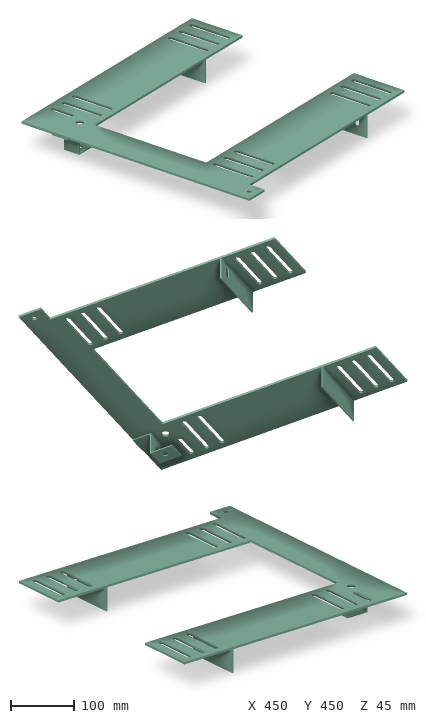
import cadquery as cq

overall_length = 450.0
overall_height = 45.0
plate_thickness = 4.0
leg_width = 100.0
base_depth = 60.0
tab_length = 30.0
tab_depth = 40.0
tab_hole_diameter = 8.0

slot_width = 8.0
slot_edge_margin = 11.0
slot_length = 78.0
short_slot_length = 43.0
slot_pitch = 28.0
slots_per_group = 3
front_slot_y = 64.0
rear_slot_y = 374.0

sheet_thickness = 2.0
wall_y = 351.0
wall_slot_x = 80.0
wall_slot_depth = 20.0
wall_slot_length = 18.0
wall_slot_width = 8.0

bracket_x = 60.0
bracket_width = 30.0
flange_depth = 34.0
foot_depth = 40.0

access_hole_x = 76.0
access_hole_y = 52.0
access_hole_diameter = 13.0
foot_hole_diameter = 8.0

right_leg_end = overall_length - tab_length
right_leg_x = right_leg_end - leg_width
plate_bottom = -plate_thickness
bottom_z = -overall_height


def box(x, y, z, length, depth, height):
    """Box placed by its lowest corner."""
    return cq.Workplane("XY").box(length, depth, height, centered=False).translate((x, y, z))


def vertical_cylinder(x, y, diameter, bottom, top):
    return cq.Workplane("XY", origin=(x, y, bottom)).circle(diameter / 2).extrude(top - bottom)


def leg_slot(start_x, y, length):
    """Round-ended cutter running along X through the plate."""
    center_x = start_x + length / 2
    return (
        cq.Workplane("XY", origin=(center_x, y, plate_bottom))
        .slot2D(length, slot_width)
        .extrude(plate_thickness)
    )


def make_plate():
    """U-shaped plate with a mounting tab at its front right corner."""
    plate = (
        cq.Workplane("XY", origin=(0, 0, plate_bottom))
        .moveTo(0, 0)
        .lineTo(overall_length, 0)
        .lineTo(overall_length, tab_depth)
        .lineTo(right_leg_end, tab_depth)
        .lineTo(right_leg_end, overall_length)
        .lineTo(right_leg_x, overall_length)
        .lineTo(right_leg_x, base_depth)
        .lineTo(leg_width, base_depth)
        .lineTo(leg_width, overall_length)
        .lineTo(0, overall_length)
        .close()
        .extrude(plate_thickness)
    )
    tab_hole_x = overall_length - tab_length / 2
    plate = plate.cut(vertical_cylinder(tab_hole_x, tab_depth / 2, tab_hole_diameter, plate_bottom, 0))
    return plate.cut(vertical_cylinder(access_hole_x, access_hole_y, access_hole_diameter, plate_bottom, 0))


def cut_leg_slots(plate):
    """Two groups of slots per leg; the slot beside the access hole is short."""
    for leg_x in (0, right_leg_x):
        for group_y in (front_slot_y, rear_slot_y):
            for index in range(slots_per_group):
                beside_access_hole = leg_x == 0 and group_y == front_slot_y and index == 0
                length = short_slot_length if beside_access_hole else slot_length
                plate = plate.cut(leg_slot(leg_x + slot_edge_margin, group_y + index * slot_pitch, length))
    return plate


def make_wall(leg_x):
    """Sheet wall hanging from the plate across one leg."""
    height = plate_bottom - bottom_z
    return box(leg_x, wall_y, bottom_z, leg_width, sheet_thickness, height)


def make_slotted_wall():
    """Right wall with an upright round-ended slot."""
    slot = (
        cq.Workplane("XZ", origin=(right_leg_x + wall_slot_x, wall_y + sheet_thickness, -wall_slot_depth))
        .slot2D(wall_slot_length, wall_slot_width, 90)
        .extrude(sheet_thickness)
    )
    return make_wall(right_leg_x).cut(slot)


def make_bracket():
    """Z-shaped bracket: flange under the plate, upright web, foot pointing rearward."""
    web_y = flange_depth - sheet_thickness
    flange_z = plate_bottom - sheet_thickness
    flange = box(bracket_x, 0, flange_z, bracket_width, flange_depth, sheet_thickness)
    web = box(bracket_x, web_y, bottom_z, bracket_width, sheet_thickness, plate_bottom - bottom_z)
    foot = box(bracket_x, web_y, bottom_z, bracket_width, foot_depth, sheet_thickness)
    hole = vertical_cylinder(
        access_hole_x, access_hole_y, foot_hole_diameter, bottom_z, bottom_z + sheet_thickness
    )
    return flange.union(web).union(foot).cut(hole)


frame = cut_leg_slots(make_plate())
result = frame.union(make_wall(0)).union(make_slotted_wall()).union(make_bracket())